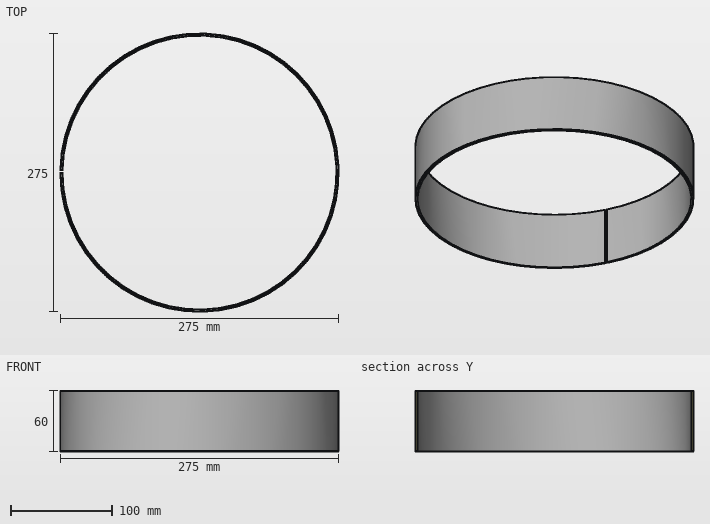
import cadquery as cq

outer_diameter = 275.0
band_height = 60.0
wall_thickness = 2.5
rim_chamfer = 0.5
split_angle = 0.9

outer_radius = outer_diameter / 2
inner_radius = outer_radius - wall_thickness

wall_section = (
    cq.Workplane("XZ")
    .moveTo(-inner_radius, 0)
    .lineTo(-inner_radius, band_height)
    .lineTo(-outer_radius + rim_chamfer, band_height)
    .lineTo(-outer_radius, band_height - rim_chamfer)
    .lineTo(-outer_radius, rim_chamfer)
    .lineTo(-outer_radius + rim_chamfer, 0)
    .close()
)

result = wall_section.revolve(360 - split_angle, (0, 0, 0), (0, 1, 0))